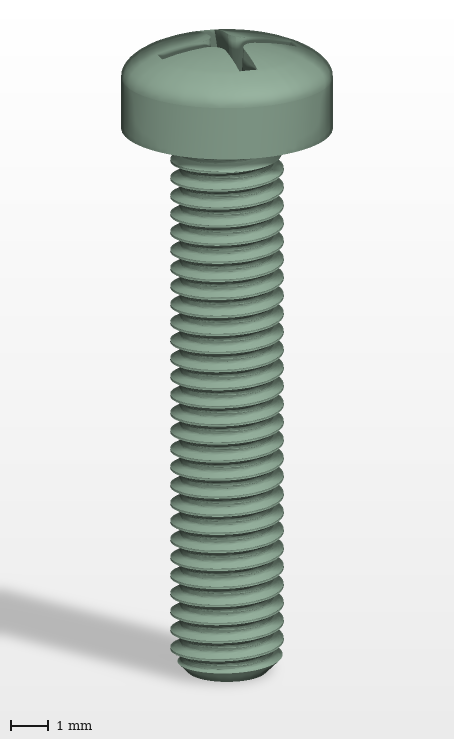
import math

import cadquery as cq

thread_diameter = 3.0
pitch = 0.5
shank_length = 15.0

head_diameter = 5.6
head_height = 2.4
rim_height = 1.42

thread_length = 14.5
root_radius = 1.25
neck_flare_width = 0.3
tip_chamfer = 0.45

thread_angle = 60.0
crest_width = pitch / 8
crest_height_offset = 0.27
envelope_clearance = 0.1
flank_points = 12

wing_width = 0.5
wing_reach = 1.87
floor_reach = 0.65
recess_depth = head_height
core_corner_radius = 0.45
core_floor_corner_radius = 0.02

thread_radius = thread_diameter / 2
head_radius = head_diameter / 2
head_top = shank_length + head_height
rim_top = shank_length + rim_height
crest_angle = -360 * crest_height_offset / pitch
turn_count = round(thread_length / pitch)
dome_height = head_height - rim_height
recess_floor = head_top - recess_depth


def make_head():
    """Cylinder closed by an elliptical dome."""
    rim = cq.Workplane("XZ").moveTo(0, shank_length).lineTo(head_radius, shank_length)
    rim = rim.lineTo(head_radius, rim_top)
    profile = rim.ellipseArc(head_radius, dome_height, 0, 90, startAtCurrent=True).close()
    return profile.revolve(360, (0, 0, 0), (0, 1, 0))


def thread_section():
    """Cross-section of the thread: crest and root arcs joined by two Archimedean spirals."""
    degrees_per_mm = 360 / pitch
    depth = thread_radius - root_radius
    half_crest = degrees_per_mm * crest_width / 2
    half_base = half_crest + degrees_per_mm * depth * math.tan(math.radians(thread_angle / 2))

    def polar(radius, angle):
        turned = math.radians(angle + crest_angle)
        return (radius * math.cos(turned), radius * math.sin(turned))

    def falling_flank(t):
        return polar(thread_radius - depth * t, half_crest + (half_base - half_crest) * t)

    def rising_flank(t):
        return polar(root_radius + depth * t, -half_base + (half_base - half_crest) * t)

    return (
        cq.Workplane("XY")
        .moveTo(*polar(thread_radius, -half_crest))
        .threePointArc(polar(thread_radius, 0), polar(thread_radius, half_crest))
        .parametricCurve(falling_flank, N=flank_points, makeWire=False)
        .moveTo(*polar(root_radius, half_base))
        .threePointArc(polar(root_radius, 180), polar(root_radius, -half_base))
        .parametricCurve(rising_flank, N=flank_points, makeWire=False)
        .consolidateWires()
    )


def make_thread_envelope():
    """Space around the thread: chamfered at the tip and tapered under the head."""
    outer_radius = thread_radius + envelope_clearance
    profile = (
        cq.Workplane("XZ")
        .lineTo(thread_radius - tip_chamfer, 0)
        .lineTo(outer_radius, tip_chamfer + envelope_clearance)
        .lineTo(outer_radius, thread_length - (outer_radius - root_radius))
        .lineTo(root_radius, thread_length)
        .lineTo(0, thread_length)
        .close()
    )
    return profile.revolve(360, (0, 0, 0), (0, 1, 0))


def make_thread():
    """Right-hand thread: identical single turns stacked up, the first and the last trimmed."""
    turn = thread_section().twistExtrude(pitch, 360).val()
    turns = [turn.moved(cq.Location(cq.Vector(0, 0, index * pitch))) for index in range(turn_count)]
    envelope = make_thread_envelope().val()
    first = turns[0].intersect(envelope)
    last = turns[-1].intersect(envelope)
    return first.fuse(*turns[1:-1], last, glue=True)


def make_neck():
    """Neck above the thread, flaring up to the head along a quarter ellipse."""
    profile = (
        cq.Workplane("XZ")
        .moveTo(0, thread_length)
        .lineTo(root_radius, thread_length)
        .ellipseArc(neck_flare_width, shank_length - thread_length, 90, 180, startAtCurrent=True, sense=-1)
        .lineTo(0, shank_length)
        .close()
    )
    return profile.revolve(360, (0, 0, 0), (0, 1, 0))


def make_wing(angle):
    """Recess wing whose two ends slope from the dome in to the floor."""
    edge_height = rim_top + dome_height * math.sqrt(1 - (wing_reach / head_radius) ** 2)
    slope = (wing_reach - floor_reach) / (edge_height - recess_floor)
    top_reach = floor_reach + slope * recess_depth
    wing = (
        cq.Workplane("XZ")
        .moveTo(-floor_reach, recess_floor)
        .lineTo(floor_reach, recess_floor)
        .lineTo(top_reach, head_top)
        .lineTo(-top_reach, head_top)
        .close()
        .extrude(wing_width / 2, both=True)
    )
    return wing.rotate((0, 0, 0), (0, 0, 1), angle)


def core_section(height, corner_radius):
    """Short-armed cross whose four inner corners are rounded."""
    side = wing_width / 2
    reach = side + corner_radius
    arc_middle = side + corner_radius * (1 - math.sqrt(0.5))

    def turned(x, y, quarter):
        angle = math.radians(90 * quarter)
        return (x * math.cos(angle) - y * math.sin(angle), x * math.sin(angle) + y * math.cos(angle))

    outline = cq.Workplane("XY", origin=(0, 0, height)).moveTo(reach, -side)
    for quarter in range(4):
        outline = outline.lineTo(*turned(reach, side, quarter))
        outline = outline.threePointArc(turned(arc_middle, arc_middle, quarter), turned(side, reach, quarter))
    return outline.close().val()


def make_recess():
    """Two crossed wings whose inner corners are rounded, widening from the floor up."""
    floor_section = core_section(recess_floor, core_floor_corner_radius)
    top_section = core_section(head_top, core_corner_radius)
    core = cq.Workplane(obj=cq.Solid.makeLoft([floor_section, top_section], True))
    return core.union(make_wing(0)).union(make_wing(90))


head = make_head().cut(make_recess())
head_and_neck = head.union(make_neck())
result = head_and_neck.union(cq.Workplane(obj=make_thread()), clean=False)